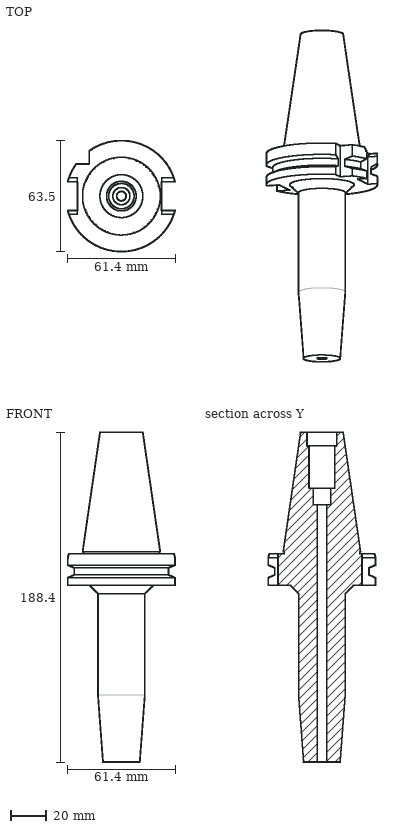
import cadquery as cq

total_height = 188.4
taper_height = 68.4
gauge_z = total_height - taper_height
nose_height = 38.6

gauge_diameter = 44.5
taper_ratio = 7 / 24
taper_top_diameter = gauge_diameter - taper_height * taper_ratio
relief_diameter = 43.3

flange_diameter = 63.5
relief_height = 1.0
gauge_to_flange_bottom = 19.0
gauge_to_groove = 11.1
flange_top_z = gauge_z - relief_height
flange_bottom_z = gauge_z - gauge_to_flange_bottom
groove_z = gauge_z - gauge_to_groove
groove_diameter = 56.3
groove_mouth_width = 7.2
groove_floor_width = 4.0

neck_height = 4.7
neck_top_diameter = 36.7
shank_diameter = 27.0
nose_diameter = 21.1

slot_width = 16.2
left_slot_floor = 25.0
right_slot_floor = 23.0
slot_chamfer = 2.3

notch_offset = 18.5

bore_steps = [(17.0, 8.0), (14.5, 32.0), (9.8, 41.5), (5.3, total_height)]


def turned_body():
    """Revolve the half outline of the holder about Z."""
    outline = [
        (0, 0),
        (nose_diameter / 2, 0),
        (shank_diameter / 2, nose_height),
        (shank_diameter / 2, flange_bottom_z - neck_height),
        (neck_top_diameter / 2, flange_bottom_z),
        (flange_diameter / 2, flange_bottom_z),
        (flange_diameter / 2, groove_z - groove_mouth_width / 2),
        (groove_diameter / 2, groove_z - groove_floor_width / 2),
        (groove_diameter / 2, groove_z + groove_floor_width / 2),
        (flange_diameter / 2, groove_z + groove_mouth_width / 2),
        (flange_diameter / 2, flange_top_z),
        (relief_diameter / 2, flange_top_z),
        (relief_diameter / 2, gauge_z),
        (gauge_diameter / 2, gauge_z),
        (taper_top_diameter / 2, total_height),
        (0, total_height),
    ]
    return cq.Workplane("XZ").polyline(outline).close().revolve(360, (0, 0), (0, 1))


def drive_slot(floor, side):
    """Slot cutter outside the floor plane; side is -1 for -X or +1 for +X."""
    half_width = slot_width / 2
    half_mouth = half_width + slot_chamfer
    section = [
        (-half_width, flange_bottom_z),
        (half_width, flange_bottom_z),
        (half_width, flange_top_z - slot_chamfer),
        (half_mouth, flange_top_z),
        (-half_mouth, flange_top_z),
        (-half_width, flange_top_z - slot_chamfer),
    ]
    return (
        cq.Workplane("YZ", origin=(side * floor, 0, 0))
        .polyline(section)
        .close()
        .extrude(side * flange_diameter)
    )


def orientation_notch():
    """Square corner cutter running through the full flange thickness."""
    return cq.Workplane("XY").box(
        flange_diameter, flange_diameter, flange_top_z - flange_bottom_z, centered=False
    ).translate((-notch_offset - flange_diameter, notch_offset, flange_bottom_z))


def stepped_bore():
    """Coaxial cylinders that narrow downward from the top face."""
    bore = cq.Workplane("XY")
    for diameter, depth in bore_steps:
        step = cq.Workplane("XY", origin=(0, 0, total_height - depth)).circle(diameter / 2).extrude(depth)
        bore = bore.union(step)
    return bore


result = (
    turned_body()
    .cut(drive_slot(left_slot_floor, -1))
    .cut(drive_slot(right_slot_floor, 1))
    .cut(orientation_notch())
    .cut(stepped_bore())
)